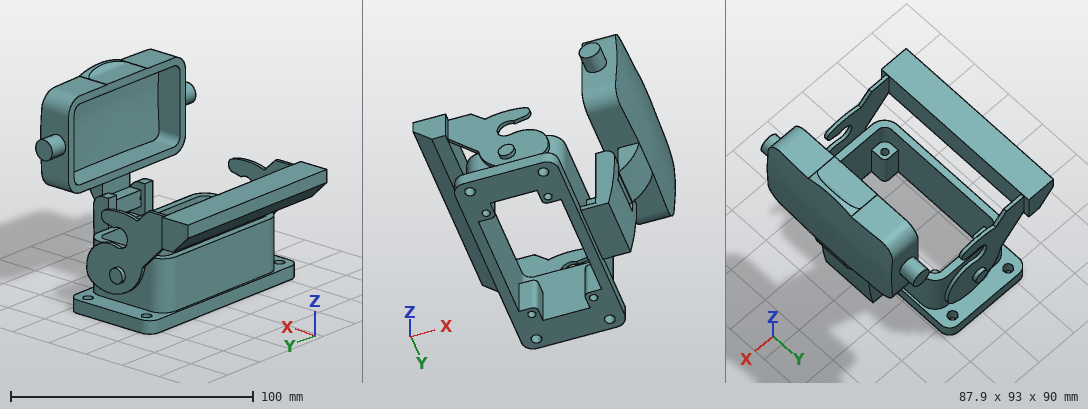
import cadquery as cq
import math


BASE_X = 45.1
BASE_Y = 93
BASE_T = 5.95
BASE_CORNER_R = 5.1
SCREW_HOLE_D = 4.4
SCREW_HOLE_X = 16.0
SCREW_HOLE_Y = 41.6

WALL = 3.5
SIDE_WALL = 3.35
SHELL_WIDTH = 42.8
SHELL_LENGTH = 73.3
SHELL_CORNER_R = 7.4
HOUSING_TOP = 29.8
OPENING_X = SHELL_WIDTH - 2 * SIDE_WALL
OPENING_Y = SHELL_LENGTH - 2 * WALL
LUG_SIZE = 7.8
LUG_CORNER_R = 2.2
LUG_TOP = 17.9
LUG_HOLE_D = 3.35
LUG_HOLE_X = 13.5
LUG_HOLE_Y = 28.55

BRACKET_WIDTH = 27.7
BRACKET_BOTTOM = 4.4
BRACKET_TOP = 38.6
BRACKET_FRONT_X = 29.0
BRACKET_BACK_X = 37.3
BRACKET_FOOT_X = 34.7
BRACKET_BELLY = (36.55, 16.6)
BRACKET_TOP_R = 5.2
BRACKET_GAP = 17.7
FOOT_TOP = 6.7
RIB_TOP = 24.1
RIB_T = 5.95
RIB_FILLET = 3.9

LID_FRONT_X = 31.0
LID_CREST_X = 47.6
LID_Z = 66.3
DOME_R_ALONG_Y = 520.8
DOME_R_ALONG_Z = 167.4
LID_PIN_D = 9.1
LID_PIN_X = 37.2
LID_PIN_Z = 66.5
LID_PIN_SPAN = 89.8

BUMP_TOP = 90.0
BUMP_WIDTH = 25.3
BUMP_PAD = 0.2
BUMP_SCOOP_X = 39.9
BUMP_SCOOP_R = 5.1

TONGUE_WIDTH = 17.1
TONGUE_FRONT_X = 37.0
TONGUE_BACK_X = 46.1
KNUCKLE_TOP = 35.4
KNUCKLE_BOTTOM = 28.2
KNUCKLE_BACK_X = 35.5
TONGUE_BELLY = (42.8, 35.5)
HINGE_PIN_D = 3.7

ARM_T = 1.7
ARM_Y = 39.7
PIVOT_Z = 19.6
RIVET_HEAD_D = 6.9
RIVET_HEAD_Y = 42.5
RIVET_SHANK_D = 5.2
HANDLE_LENGTH = 86.9
HANDLE_FRONT_X = -40.3
HANDLE_BACK_X = -26
HANDLE_BOTTOM = 38.3
HANDLE_TOP = 52.3
HANDLE_CHAMFER = 8.2
HOOK_Z = 35.9
CAM_X = 5.1
HEEL_R = 18.0
HEEL_BOTTOM = 10.4
HEEL_FRONT_ANGLE = 82
HEEL_BACK_ANGLE = 30
HEEL_CORNER = (16.65, 15.1)
SHOULDER_X = -16.0
ARM_ROOT_TOP = 51.5
ARM_ROOT_BOTTOM = 39.3
ARM_ROOT_DEPTH = 2.8
FINGER_ROOT = (-9.95, 45.85)
FINGER_BACK = (0.2, 47.3)
FINGER_TIP_START = (7.7, 46.3)
FINGER_TIP = (9.6, 43.7)
FINGER_TIP_END = (7.7, 40.7)
THROAT_START_X = 2.6


def box_between(x0, x1, width, z0, z1):
    """Box symmetric about Y = 0."""
    block = cq.Workplane("XY", origin=(x0, 0, z0))
    return block.box(x1 - x0, width, z1 - z0, centered=(False, True, False))


def rod_along_y(diameter, x, z, y0, y1):
    return cq.Workplane("XZ", origin=(x, y0, z)).circle(diameter / 2).extrude(y0 - y1)


def extrude_across(profile, width):
    """Extrude an XZ profile symmetrically about Y = 0."""
    return profile.extrude(width / 2, both=True)


def rounded_plate(size_x, size_y, radius, height):
    return cq.Workplane("XY").rect(size_x, size_y).extrude(height).edges("|Z").fillet(radius)


def four_holes(diameter, x, y, depth):
    """Cutters for one vertical hole in each quadrant, from the underside up."""
    centres = cq.Workplane("XY").rect(2 * x, 2 * y, forConstruction=True).vertices()
    return centres.circle(diameter / 2).extrude(depth)


def make_lug():
    """Lug in the +X, +Y corner of the housing, with its free corner rounded."""
    lug = cq.Workplane("XY").rect(LUG_SIZE, LUG_SIZE).extrude(LUG_TOP)
    lug = lug.faces("<X").edges("<Y").fillet(LUG_CORNER_R)
    return lug.translate((OPENING_X / 2 - LUG_SIZE / 2, OPENING_Y / 2 - LUG_SIZE / 2, 0))


def make_housing():
    base = rounded_plate(BASE_X, BASE_Y, BASE_CORNER_R, BASE_T)
    base = base.cut(four_holes(SCREW_HOLE_D, SCREW_HOLE_X, SCREW_HOLE_Y, BASE_T))
    walls = rounded_plate(SHELL_WIDTH, SHELL_LENGTH, SHELL_CORNER_R, HOUSING_TOP)
    opening = rounded_plate(OPENING_X, OPENING_Y, SHELL_CORNER_R - WALL, HOUSING_TOP)
    body = base.union(walls).cut(opening)
    lug = make_lug()
    lug_pair = lug.union(lug.mirror("YZ"))
    body = body.union(lug_pair).union(lug_pair.mirror("XZ"))
    return body.cut(four_holes(LUG_HOLE_D, LUG_HOLE_X, LUG_HOLE_Y, LUG_TOP))


def make_bracket():
    housing_x = (SHELL_WIDTH - SIDE_WALL) / 2
    slant_z = BRACKET_TOP - BRACKET_TOP_R
    top_mid = BRACKET_TOP_R * math.sqrt(0.5)
    profile = (
        cq.Workplane("XZ")
        .moveTo(BRACKET_FRONT_X, BRACKET_BOTTOM)
        .lineTo(BRACKET_FRONT_X, BRACKET_TOP)
        .lineTo(BRACKET_BACK_X - BRACKET_TOP_R, BRACKET_TOP)
        .threePointArc(
            (BRACKET_BACK_X - BRACKET_TOP_R + top_mid, slant_z + top_mid),
            (BRACKET_BACK_X, slant_z),
        )
        .threePointArc(BRACKET_BELLY, (BRACKET_FOOT_X, BRACKET_BOTTOM))
        .close()
    )
    plate = extrude_across(profile, BRACKET_WIDTH)
    gap = box_between(BRACKET_FRONT_X, BRACKET_BACK_X, BRACKET_GAP, RIB_TOP, BRACKET_TOP)
    foot = box_between(housing_x, BRACKET_FRONT_X, BRACKET_WIDTH, BRACKET_BOTTOM, FOOT_TOP)
    rib = box_between(housing_x, BRACKET_FRONT_X, RIB_T, FOOT_TOP, RIB_TOP)
    web = foot.union(rib)
    middle_x = (housing_x + BRACKET_FRONT_X) / 2
    for side in (-1, 1):
        corner = cq.selectors.NearestToPointSelector((middle_x, side * RIB_T / 2, FOOT_TOP))
        web = web.edges("|X").edges(corner).fillet(RIB_FILLET)
    return plate.cut(gap).union(web)


def dome(crest_x):
    """Barrel whose crest gives the doubly curved back of the lid."""
    half_z = BUMP_TOP - LID_Z
    sag = DOME_R_ALONG_Z - math.sqrt(DOME_R_ALONG_Z**2 - half_z**2)
    axis_x = crest_x - DOME_R_ALONG_Y
    profile = (
        cq.Workplane("XZ")
        .moveTo(axis_x, LID_Z - half_z)
        .lineTo(crest_x - sag, LID_Z - half_z)
        .threePointArc((crest_x, LID_Z), (crest_x - sag, LID_Z + half_z))
        .lineTo(axis_x, LID_Z + half_z)
        .close()
    )
    return profile.revolve(360, (axis_x, 0), (axis_x, 1))


def lid_block(inset):
    return (
        cq.Workplane("YZ", origin=(LID_FRONT_X, 0, LID_Z))
        .rect(SHELL_LENGTH - 2 * inset, SHELL_WIDTH - 2 * inset)
        .extrude(LID_CREST_X - LID_FRONT_X)
        .edges("|X").fillet(SHELL_CORNER_R - inset)
    )


def make_bump():
    lid_top = LID_Z + SHELL_WIDTH / 2
    depth = LID_CREST_X - LID_FRONT_X
    half = BUMP_WIDTH / 2
    root = lid_top - WALL / 2
    bulge = (
        cq.Workplane("YZ", origin=(LID_FRONT_X, 0, 0))
        .moveTo(-half, root)
        .lineTo(-half, lid_top + BUMP_PAD)
        .threePointArc((0, BUMP_TOP), (half, lid_top + BUMP_PAD))
        .lineTo(half, root)
        .close().extrude(depth)
    )
    scoop_z = lid_top + BUMP_PAD
    cutter = box_between(LID_FRONT_X, BUMP_SCOOP_X, BUMP_WIDTH, scoop_z, BUMP_TOP)
    hollow = rod_along_y(2 * BUMP_SCOOP_R, BUMP_SCOOP_X, scoop_z + BUMP_SCOOP_R, -half, half)
    return bulge.cut(cutter).cut(hollow)


def make_lid():
    shell = lid_block(0).union(make_bump()).intersect(dome(LID_CREST_X))
    pins = rod_along_y(LID_PIN_D, LID_PIN_X, LID_PIN_Z, -LID_PIN_SPAN / 2, LID_PIN_SPAN / 2)
    cavity = lid_block(WALL).intersect(dome(LID_CREST_X - WALL))
    lid_bottom = LID_Z - SHELL_WIDTH / 2
    root = lid_bottom + WALL / 2
    tongue = (
        cq.Workplane("XZ")
        .moveTo(TONGUE_FRONT_X, root)
        .lineTo(TONGUE_FRONT_X, KNUCKLE_TOP)
        .lineTo(LID_FRONT_X, KNUCKLE_TOP)
        .lineTo(LID_FRONT_X, KNUCKLE_BOTTOM)
        .lineTo(KNUCKLE_BACK_X, KNUCKLE_BOTTOM)
        .threePointArc(TONGUE_BELLY, (TONGUE_BACK_X, lid_bottom))
        .lineTo(TONGUE_BACK_X, root)
        .close()
    )
    knuckle_x = (LID_FRONT_X + KNUCKLE_BACK_X) / 2
    knuckle_z = (KNUCKLE_TOP + KNUCKLE_BOTTOM) / 2
    pin_end = (BRACKET_GAP + BRACKET_WIDTH) / 4
    hinge_pin = rod_along_y(HINGE_PIN_D, knuckle_x, knuckle_z, -pin_end, pin_end)
    hinge = extrude_across(tongue, TONGUE_WIDTH).union(hinge_pin)
    return shell.union(hinge).union(pins).cut(cavity)


def heel_point(angle):
    """Point on the heel arc, at an angle from straight down toward +X."""
    turn = math.radians(angle)
    return (CAM_X + HEEL_R * math.sin(turn), HEEL_BOTTOM + HEEL_R * (1 - math.cos(turn)))


def lever_arm_profile():
    """Side outline: hooked finger above, round cam and heel around the pivot below."""
    hook_r = LID_PIN_D / 2
    to_cam = math.hypot(CAM_X, HOOK_Z - PIVOT_Z)
    cam_r = to_cam - hook_r
    throat_end = (hook_r * CAM_X / to_cam, HOOK_Z - hook_r * (HOOK_Z - PIVOT_Z) / to_cam)
    cam_mid = (CAM_X + cam_r * math.sqrt(0.5), PIVOT_Z + cam_r * math.sqrt(0.5))
    cam_end = (CAM_X + cam_r, PIVOT_Z)
    throat_start_z = HOOK_Z + math.sqrt(hook_r**2 - THROAT_START_X**2)
    arm_root_x = HANDLE_BACK_X - ARM_ROOT_DEPTH
    return (
        cq.Workplane("XZ")
        .moveTo(arm_root_x, ARM_ROOT_TOP)
        .lineTo(SHOULDER_X, ARM_ROOT_TOP)
        .lineTo(*FINGER_ROOT)
        .threePointArc(FINGER_BACK, FINGER_TIP_START)
        .threePointArc(FINGER_TIP, FINGER_TIP_END)
        .lineTo(THROAT_START_X, throat_start_z)
        .threePointArc((-hook_r, HOOK_Z), throat_end)
        .threePointArc(cam_mid, cam_end)
        .threePointArc(HEEL_CORNER, heel_point(HEEL_BACK_ANGLE))
        .threePointArc(heel_point(0), heel_point(-HEEL_FRONT_ANGLE))
        .lineTo(HANDLE_BACK_X, ARM_ROOT_BOTTOM)
        .lineTo(arm_root_x, ARM_ROOT_BOTTOM)
        .close()
    )


def make_lever():
    lever = box_between(HANDLE_FRONT_X, HANDLE_BACK_X, HANDLE_LENGTH, HANDLE_BOTTOM, HANDLE_TOP)
    lever = lever.edges("<X and <Z").chamfer(HANDLE_CHAMFER)
    arm = extrude_across(lever_arm_profile(), ARM_T)
    for side in (-1, 1):
        lever = lever.union(arm.translate((0, side * ARM_Y, 0)))
        wall_y = side * (SHELL_LENGTH - WALL) / 2
        lever = lever.union(rod_along_y(RIVET_SHANK_D, 0, PIVOT_Z, wall_y, side * ARM_Y))
        lever = lever.union(rod_along_y(RIVET_HEAD_D, 0, PIVOT_Z, side * ARM_Y, side * RIVET_HEAD_Y))
    return lever


result = make_housing().union(make_bracket()).union(make_lid()).union(make_lever())